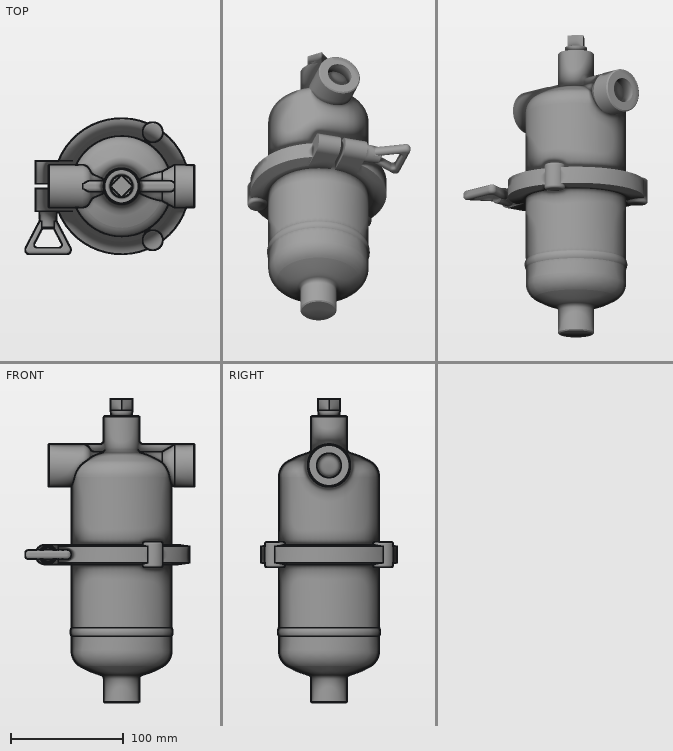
import cadquery as cq
import math


BODY_RADIUS = 89 / 2
BODY_TOP = -10.2
BODY_BOTTOM = -164.0
KNUCKLE_RADIUS = 16.0
CROWN_RADIUS = 71.0
BOSS_RADIUS = 32 / 2
BOSS_TOP = 44.0
BOSS_BOTTOM = -210.0
BOSS_BLEND = 3.0
EDGE_CHAMFER = 1.0
BEAD_TOP = -143.7
BEAD_BOTTOM = -151.0
BEAD_HEIGHT = 1.0

PLUG_TOP = 59.0
PLUG_SQUARE = 14.0
PLUG_SQUARE_HEIGHT = 10.0
PLUG_NECK_TOP_RADIUS = 9.9
PLUG_NECK_BOTTOM_RADIUS = 9.3

PORT_RADIUS = 38 / 2
PORT_REACH = 65.0
PORT_BORE_RADIUS = 21.7 / 2
PORT_BORE_DEPTH = 12.5
NECK_RADIUS = 13.25
INLET_LENGTH = 30.8
INLET_SHOULDER_RADIUS = 7.6
INLET_SHOULDER_ANGLE = math.radians(60)
OUTLET_LENGTH = 18.1
OUTLET_CONE_LENGTH = 10.7

RIB_WIDTH = 10.0
RIB_BOTTOM = 5.0
RIB_ROUND = 3.75
RIB_BLEND = 3.0

CLAMP_Z = -78.9
CLAMP_RADIUS = 60.31
CLAMP_FLAT_RADIUS = 49.2
CLAMP_OVERLAP = 2.0
CLAMP_HEIGHT = 17.8
CLAMP_RIM_HEIGHT = 14.6
LUG_X = -67.4
LUG_WIDTH = 44.7
LUG_SLIT = 4.0
PIN_CIRCLE_RADIUS = 55.2
PIN_ANGLE = 60
PIN_RADIUS = 9.0
PIN_HEIGHT = 22.7
PIN_ROUND = 2.0
SEGMENT_GAP = 4.0

HANDLE_X = -65.06
HANDLE_END_Y = -60.31
HANDLE_THICKNESS = 8.2
HANDLE_TOP_Y = -30.0
HANDLE_TOP_HALF_WIDTH = 7.2
HANDLE_SLOPE = 0.52
HANDLE_CORNER_RADIUS = 4.0
HANDLE_OUTER_ROUND = 3.0
HANDLE_INNER_ROUND = 1.8
WINDOW_START_Y = -34.0
WINDOW_END_Y = -54.3
WINDOW_HALF_WIDTH = 13.8
WINDOW_CORNER_RADIUS = 2.5
STEM_END_Y = -37.5
STEM_BASE_RADIUS = 8.0
STEM_END_RADIUS = 7.0
STEM_CHAMFER = 1.0
STEM_FLAT_HALF_WIDTH = 5.7
STEM_FLAT_START_Y = -31.0


def head_points():
    """Dished head as (radius, height above the straight wall): knuckle middle and end, crown end,
    middle and end of the blend into the boss."""
    knuckle_center = BODY_RADIUS - KNUCKLE_RADIUS
    crown_angle = math.asin(knuckle_center / (CROWN_RADIUS - KNUCKLE_RADIUS))
    crown_center = -(CROWN_RADIUS - KNUCKLE_RADIUS) * math.cos(crown_angle)

    def on_knuckle(angle):
        return knuckle_center + KNUCKLE_RADIUS * math.sin(angle), KNUCKLE_RADIUS * math.cos(angle)

    def on_crown(angle):
        return CROWN_RADIUS * math.sin(angle), crown_center + CROWN_RADIUS * math.cos(angle)

    blend_center_r = BOSS_RADIUS + BOSS_BLEND
    blend_angle = math.asin(blend_center_r / (CROWN_RADIUS + BOSS_BLEND))
    blend_center_h = crown_center + (CROWN_RADIUS + BOSS_BLEND) * math.cos(blend_angle)
    blend_middle_angle = (blend_angle + math.pi / 2) / 2

    return {
        "knuckle_middle": on_knuckle((math.pi / 2 + crown_angle) / 2),
        "knuckle_end": on_knuckle(crown_angle),
        "crown_middle": on_crown((crown_angle + blend_angle) / 2),
        "crown_end": on_crown(blend_angle),
        "blend_middle": (
            blend_center_r - BOSS_BLEND * math.sin(blend_middle_angle),
            blend_center_h - BOSS_BLEND * math.cos(blend_middle_angle),
        ),
        "blend_end": (BOSS_RADIUS, blend_center_h),
    }


def make_vessel():
    head = head_points()
    top = {name: (r, BODY_TOP + h) for name, (r, h) in head.items()}
    bottom = {name: (r, BODY_BOTTOM - h) for name, (r, h) in head.items()}
    bead_middle = (BODY_RADIUS + BEAD_HEIGHT, (BEAD_TOP + BEAD_BOTTOM) / 2)
    chamfer_start = BOSS_RADIUS - EDGE_CHAMFER
    return (
        cq.Workplane("XZ")
        .moveTo(0, BOSS_BOTTOM)
        .lineTo(chamfer_start, BOSS_BOTTOM)
        .lineTo(BOSS_RADIUS, BOSS_BOTTOM + EDGE_CHAMFER)
        .lineTo(*bottom["blend_end"])
        .threePointArc(bottom["blend_middle"], bottom["crown_end"])
        .threePointArc(bottom["crown_middle"], bottom["knuckle_end"])
        .threePointArc(bottom["knuckle_middle"], (BODY_RADIUS, BODY_BOTTOM))
        .lineTo(BODY_RADIUS, BEAD_BOTTOM)
        .threePointArc(bead_middle, (BODY_RADIUS, BEAD_TOP))
        .lineTo(BODY_RADIUS, BODY_TOP)
        .threePointArc(top["knuckle_middle"], top["knuckle_end"])
        .threePointArc(top["crown_middle"], top["crown_end"])
        .threePointArc(top["blend_middle"], top["blend_end"])
        .lineTo(BOSS_RADIUS, BOSS_TOP - EDGE_CHAMFER)
        .lineTo(chamfer_start, BOSS_TOP)
        .lineTo(0, BOSS_TOP)
        .close()
        .revolve(360, (0, 0), (0, 1))
    )


def make_plug():
    square_bottom = PLUG_TOP - PLUG_SQUARE_HEIGHT
    neck = (
        cq.Workplane("XY", origin=(0, 0, BOSS_TOP))
        .circle(PLUG_NECK_BOTTOM_RADIUS)
        .workplane(offset=square_bottom - BOSS_TOP)
        .circle(PLUG_NECK_TOP_RADIUS)
        .loft()
    )
    square = (
        cq.Workplane("XY", origin=(0, 0, square_bottom))
        .transformed(rotate=(0, 0, 45))
        .rect(PLUG_SQUARE, PLUG_SQUARE)
        .extrude(PLUG_SQUARE_HEIGHT)
    )
    return neck.union(square)


def make_inlet():
    """Port on -X: its shoulder turns through an S of two tangent arcs into the neck."""
    shoulder_x = INLET_LENGTH - PORT_REACH
    turn = INLET_SHOULDER_ANGLE
    drop_per_radius = 1 - math.cos(turn)
    neck_blend_radius = (PORT_RADIUS - NECK_RADIUS) / drop_per_radius - INLET_SHOULDER_RADIUS
    neck_x = shoulder_x + (INLET_SHOULDER_RADIUS + neck_blend_radius) * math.sin(turn)

    def on_shoulder(angle):
        return (
            shoulder_x + INLET_SHOULDER_RADIUS * math.sin(angle),
            PORT_RADIUS - INLET_SHOULDER_RADIUS * (1 - math.cos(angle)),
        )

    def on_neck_blend(angle):
        return (
            neck_x - neck_blend_radius * math.sin(angle),
            NECK_RADIUS + neck_blend_radius * (1 - math.cos(angle)),
        )

    return (
        cq.Workplane("XZ")
        .moveTo(0, 0)
        .lineTo(-PORT_REACH, 0)
        .lineTo(-PORT_REACH, PORT_RADIUS - EDGE_CHAMFER)
        .lineTo(EDGE_CHAMFER - PORT_REACH, PORT_RADIUS)
        .lineTo(shoulder_x, PORT_RADIUS)
        .threePointArc(on_shoulder(turn / 2), on_shoulder(turn))
        .threePointArc(on_neck_blend(turn / 2), (neck_x, NECK_RADIUS))
        .lineTo(0, NECK_RADIUS)
        .close()
        .revolve(360, (0, 0), (1, 0))
    )


def make_outlet():
    """Port on +X: a cone leads from the neck to the port."""
    cone_end = PORT_REACH - OUTLET_LENGTH
    return (
        cq.Workplane("XZ")
        .moveTo(0, 0)
        .lineTo(0, NECK_RADIUS)
        .lineTo(cone_end - OUTLET_CONE_LENGTH, NECK_RADIUS)
        .lineTo(cone_end, PORT_RADIUS)
        .lineTo(PORT_REACH - EDGE_CHAMFER, PORT_RADIUS)
        .lineTo(PORT_REACH, PORT_RADIUS - EDGE_CHAMFER)
        .lineTo(PORT_REACH, 0)
        .close()
        .revolve(360, (0, 0), (1, 0))
    )


def make_port_bore(side):
    return (
        cq.Workplane("YZ", origin=(side * PORT_REACH, 0, 0))
        .circle(PORT_BORE_RADIUS)
        .extrude(-side * PORT_BORE_DEPTH)
    )


def make_ribs():
    """Round-topped rib to each port, flared where it meets the boss."""
    inlet_end = INLET_LENGTH - PORT_REACH
    outlet_end = PORT_REACH - OUTLET_LENGTH
    height = PORT_RADIUS - RIB_BOTTOM
    bar = (
        cq.Workplane("XY", origin=((inlet_end + outlet_end) / 2, 0, RIB_BOTTOM))
        .box(outlet_end - inlet_end, RIB_WIDTH, height, centered=(True, True, False))
        .edges("|X and >Z")
        .fillet(RIB_ROUND)
    )
    core = cq.Workplane("XY").circle(BOSS_RADIUS).extrude(BOSS_TOP - EDGE_CHAMFER)
    joint = cq.selectors.BoxSelector(
        (-BOSS_RADIUS - RIB_BLEND, -RIB_WIDTH, RIB_BOTTOM + RIB_BLEND),
        (BOSS_RADIUS + RIB_BLEND, RIB_WIDTH, PORT_RADIUS + RIB_BLEND),
    )
    return core.union(bar).edges(joint).fillet(RIB_BLEND)


def make_clamp_ring():
    half_height = CLAMP_HEIGHT / 2
    half_rim = CLAMP_RIM_HEIGHT / 2
    core_radius = BODY_RADIUS - CLAMP_OVERLAP
    return (
        cq.Workplane("XZ", origin=(0, 0, CLAMP_Z))
        .moveTo(core_radius, -half_height)
        .lineTo(CLAMP_FLAT_RADIUS, -half_height)
        .lineTo(CLAMP_RADIUS, -half_rim)
        .lineTo(CLAMP_RADIUS, half_rim)
        .lineTo(CLAMP_FLAT_RADIUS, half_height)
        .lineTo(core_radius, half_height)
        .close()
        .revolve(360, (0, 0), (0, 1))
    )


def make_lug():
    slab_end = -CLAMP_FLAT_RADIUS * math.cos(math.asin(LUG_WIDTH / 2 / CLAMP_FLAT_RADIUS))
    slab = cq.Workplane("XY", origin=((LUG_X + slab_end) / 2, 0, CLAMP_Z)).box(
        slab_end - LUG_X, LUG_WIDTH, CLAMP_HEIGHT
    )
    rounded_end = (
        cq.Workplane("XZ", origin=(LUG_X, LUG_WIDTH / 2, CLAMP_Z))
        .circle(CLAMP_HEIGHT / 2)
        .extrude(LUG_WIDTH)
    )
    return slab.union(rounded_end)


def make_slit():
    length = PORT_REACH + CLAMP_RADIUS
    return cq.Workplane("XY", origin=(-length / 2, 0, CLAMP_Z)).box(length, LUG_SLIT, 2 * CLAMP_HEIGHT)


def make_segment_gap(side):
    """Radial cut at a hinge pin, reaching from the axis to the pin."""
    return (
        cq.Workplane("XY", origin=(0, 0, CLAMP_Z))
        .transformed(rotate=(0, 0, side * PIN_ANGLE))
        .center(PIN_CIRCLE_RADIUS / 2, 0)
        .box(PIN_CIRCLE_RADIUS, SEGMENT_GAP, CLAMP_HEIGHT)
    )


def make_pin(side):
    angle = math.radians(side * PIN_ANGLE)
    center = (PIN_CIRCLE_RADIUS * math.cos(angle), PIN_CIRCLE_RADIUS * math.sin(angle), CLAMP_Z)
    return (
        cq.Workplane("XY", origin=center)
        .cylinder(PIN_HEIGHT, PIN_RADIUS)
        .faces("<Z or >Z")
        .edges()
        .fillet(PIN_ROUND)
    )


def make_clamp():
    clamp = make_clamp_ring().union(make_lug()).cut(make_slit())
    for side in (-1, 1):
        clamp = clamp.cut(make_segment_gap(side)).union(make_pin(side))
    return clamp


def make_stem():
    """Tapered stem along -Y, milled flat on both sides between the arms."""
    base_y = -LUG_WIDTH / 2
    length = base_y - STEM_END_Y
    cone = (
        cq.Workplane("XZ", origin=(HANDLE_X, base_y, CLAMP_Z))
        .circle(STEM_BASE_RADIUS)
        .workplane(offset=length)
        .circle(STEM_END_RADIUS)
        .loft()
    )
    flat_length = STEM_FLAT_START_Y - STEM_END_Y
    envelope = (
        cq.Workplane("XZ", origin=(HANDLE_X, base_y, CLAMP_Z))
        .rect(2 * STEM_BASE_RADIUS, 2 * STEM_BASE_RADIUS)
        .extrude(length - flat_length)
        .faces("<Y")
        .workplane()
        .rect(2 * STEM_FLAT_HALF_WIDTH, 2 * STEM_BASE_RADIUS)
        .extrude(flat_length)
    )
    return cone.intersect(envelope).faces("<Y").edges().chamfer(STEM_CHAMFER)


def handle_half_width(y):
    return HANDLE_TOP_HALF_WIDTH + HANDLE_SLOPE * (HANDLE_TOP_Y - y)


def make_trapezoid(start_y, end_y, start_half_width, end_half_width, corner_radius):
    """Plate that widens toward -Y, with its two far corners rounded."""
    return (
        cq.Workplane("XY", origin=(HANDLE_X, 0, CLAMP_Z - HANDLE_THICKNESS / 2))
        .polyline([
            (-start_half_width, start_y),
            (start_half_width, start_y),
            (end_half_width, end_y),
            (-end_half_width, end_y),
        ])
        .close()
        .extrude(HANDLE_THICKNESS)
        .edges("|Z and <Y")
        .fillet(corner_radius)
    )


def make_handle():
    plate = make_trapezoid(
        HANDLE_TOP_Y,
        HANDLE_END_Y,
        HANDLE_TOP_HALF_WIDTH,
        handle_half_width(HANDLE_END_Y),
        HANDLE_CORNER_RADIUS,
    )
    rounded_plate = plate.edges("(<Z or >Z) and (not >Y)").fillet(HANDLE_OUTER_ROUND)
    window_length = WINDOW_START_Y - WINDOW_END_Y
    window = make_trapezoid(
        WINDOW_START_Y,
        WINDOW_END_Y,
        WINDOW_HALF_WIDTH - HANDLE_SLOPE * window_length,
        WINDOW_HALF_WIDTH,
        WINDOW_CORNER_RADIUS,
    )
    frame = rounded_plate.cut(window)
    window_rim = cq.selectors.LengthNthSelector(0)
    frame = frame.faces("<Z or >Z").wires(window_rim).edges().fillet(HANDLE_INNER_ROUND)
    return frame.union(make_stem())


result = (
    make_vessel()
    .union(make_plug())
    .union(make_inlet())
    .union(make_outlet())
    .union(make_ribs())
    .union(make_clamp())
    .union(make_handle())
    .cut(make_port_bore(-1))
    .cut(make_port_bore(1))
)